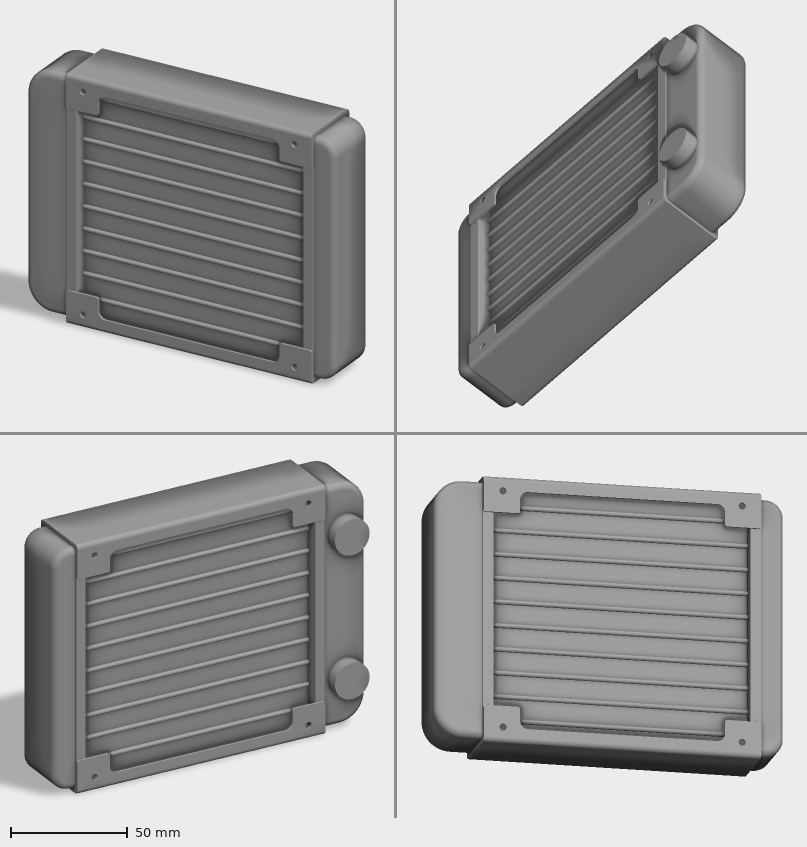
import cadquery as cq


overall_length = 153.5
overall_depth = 36.5
overall_height = 118.0

plate = 1.0
bracket_depth = 32.0
bracket_bend_radius = 2.0
flange_height = 16.0
lip_height = 6.3
tab_width = 16.0
lip_corner_radius = 3.5
tab_corner_radius = 1.0
screw_hole_diameter = 3
screw_spacing = 105.1

core_length = 122.0
core_depth = bracket_depth - 2 * plate
core_height = overall_height - 2 * plate
core_edge_radius = bracket_bend_radius - plate
frame_post_width = 4.5
frame_rail_height = 1.5
window_length = core_length - 2 * frame_post_width
window_height = core_height - 2 * frame_rail_height
window_depth = 6.9
tube_count = 10
tube_pitch = core_height / (tube_count + 1)
tube_radius = 1.0
tube_straight = 0.5

tank_step = 1.0
tank_depth = core_depth - 2 * tank_step
tank_height = core_height - 2 * tank_step
port_tank_length = 21.0
return_tank_length = overall_length - core_length - port_tank_length
port_tank_corner_radius = 12.5
return_tank_corner_radius = 8.0
tank_edge_fillet = 2.9

port_diameter = 17.0
port_spacing = 68.2
port_length = overall_depth - bracket_depth / 2 - tank_depth / 2


def make_core_block():
    """Plain outer block of the core, rounded along its length to follow the bracket bends."""
    return cq.Workplane().box(core_length, core_depth, core_height).edges("|X").fillet(core_edge_radius)


def make_core():
    """Frame with a window in each broad face that shows the fins and the round tube noses."""
    core = make_core_block()
    fin_face = core_depth / 2 - window_depth
    for side in (-1, 1):
        window = (
            cq.Workplane()
            .box(window_length, window_depth, window_height)
            .translate((0, side * (fin_face + window_depth / 2), 0))
        )
        core = core.cut(window)
        for i in range(tube_count):
            tube_z = (i - (tube_count - 1) / 2) * tube_pitch
            tube = (
                cq.Workplane("YZ")
                .center(side * fin_face, tube_z)
                .slot2D(2 * (tube_straight + tube_radius), 2 * tube_radius)
                .extrude(window_length / 2, both=True)
            )
            core = core.union(tube)
    return core


def make_tank(side, length, corner_radius):
    """Tank on the end of the core at -X (side -1) or +X (side 1), rounded away from the core."""
    outer_face = "<X" if side < 0 else ">X"
    return (
        cq.Workplane()
        .box(length, tank_depth, tank_height)
        .faces(outer_face)
        .edges("|Y")
        .fillet(corner_radius)
        .faces(outer_face)
        .edges("|Z")
        .fillet(tank_edge_fillet)
        .translate((side * (core_length + length) / 2, 0, 0))
    )


def make_port_tank():
    """Tank at -X with two round ports standing on its back face."""
    tank = make_tank(-1, port_tank_length, port_tank_corner_radius)
    port_x = -(core_length + port_tank_length) / 2
    for port_z in (-port_spacing / 2, port_spacing / 2):
        port = (
            cq.Workplane("XZ", origin=(port_x, 0, port_z))
            .circle(port_diameter / 2)
            .extrude(-(tank_depth / 2 + port_length))
        )
        tank = tank.union(port)
    return tank


def make_bracket():
    """U channel over the top of the core, with a tab and a screw hole at each flange corner."""
    top = overall_height / 2
    channel = (
        cq.Workplane()
        .box(core_length, bracket_depth, flange_height)
        .translate((0, 0, top - flange_height / 2))
        .edges("|X and >Z")
        .fillet(bracket_bend_radius)
    )
    notch_height = flange_height - lip_height
    notch = (
        cq.Workplane()
        .box(core_length - 2 * tab_width, bracket_depth, notch_height)
        .translate((0, 0, top - flange_height + notch_height / 2))
        .edges("|Y and >Z")
        .fillet(lip_corner_radius)
    )
    tab_corners = cq.selectors.BoxSelector(
        (-core_length, -bracket_depth, top - flange_height - plate),
        (core_length, bracket_depth, top - flange_height + plate),
    )
    screw_holes = (
        cq.Workplane("XZ")
        .pushPoints([(-screw_spacing / 2, screw_spacing / 2), (screw_spacing / 2, screw_spacing / 2)])
        .circle(screw_hole_diameter / 2)
        .extrude(bracket_depth, both=True)
    )
    return (
        channel.cut(make_core_block())
        .cut(notch)
        .edges("|Y")
        .edges(tab_corners)
        .fillet(tab_corner_radius)
        .cut(screw_holes)
    )


core = make_core()
port_tank = make_port_tank()
return_tank = make_tank(1, return_tank_length, return_tank_corner_radius)
top_bracket = make_bracket()
bottom_bracket = top_bracket.mirror("XY")

result = cq.Compound.makeCompound(
    [core.val(), port_tank.val(), return_tank.val(), top_bracket.val(), bottom_bracket.val()]
)